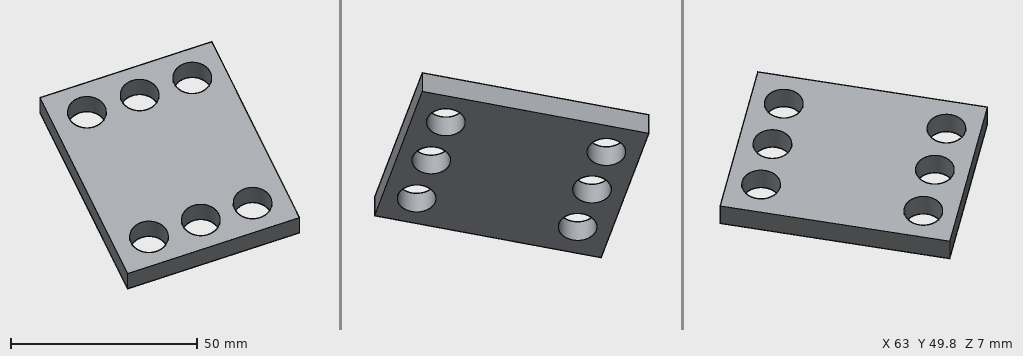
import cadquery as cq

length = 63.0
width = 49.75
thickness = 7.0

hole_diameter = 10.4
left_column_x = -22.3
right_column_x = 22.3
front_row_y = -15.0
left_pitch = 15.25
right_pitch = 15.0
holes_per_column = 3


def hole_column(x, pitch):
    """Centres of one column of holes, from the front row backwards."""
    return [(x, front_row_y + i * pitch) for i in range(holes_per_column)]


hole_centres = hole_column(left_column_x, left_pitch) + hole_column(right_column_x, right_pitch)

plate = cq.Workplane("XY").box(length, width, thickness)
result = plate.faces(">Z").workplane(origin=(0, 0, 0)).pushPoints(hole_centres).hole(hole_diameter)